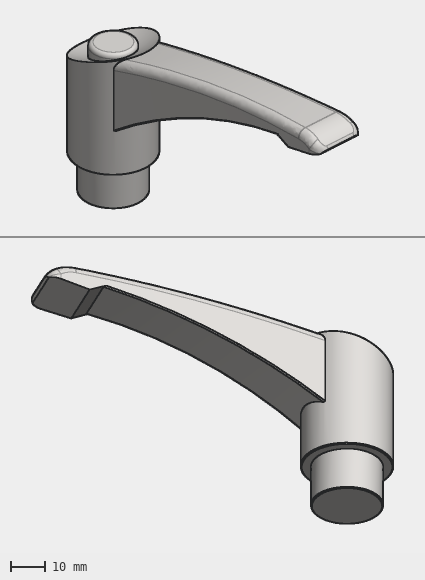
import cadquery as cq
import math

total_length = 108.0
total_height = 60.9

hub_radius = 13.5
collar_radius = 21.0 / 2
collar_height = 13.2
rim_middle = 48.6
rim_high = 53.4
edge_break = 0.3
button_radius = 14.7 / 2
button_top = 50.5
button_round = 1.4

bowl_tilt = 17.6
bowl_depth = 2.3
bowl_length_radius = 49.9
bowl_width_radius = 30.7

nose_loss = 0.14
tip_x = total_length - hub_radius + nose_loss
root_x = 9.6
root_top = 51.7
root_bottom = 27.9
root_half_width = 9.4
waist_x = 49.7
waist_half_width = 8.1
grip_end_x = 86.0
back_waist = 58.8
tip_top = 56.8
tip_half_width = 9.4
tip_corner_radius = 3.9
shoulder_round = 2.7
underside_break = 0.4
tip_underside = (93.7, 55.7)
notch_lip = (81.5, 53.3)
notch_root = (77.1, 55.4)
underside_middle = (41.3, 45.5)


def make_hub():
    collar = cq.Workplane("XY").circle(collar_radius).extrude(collar_height)
    collar = collar.faces("<Z").chamfer(edge_break)
    barrel = cq.Workplane("XY").workplane(offset=collar_height).circle(hub_radius)
    barrel = barrel.extrude(rim_high - collar_height).faces("<Z").chamfer(edge_break)
    return collar.union(barrel)


def back_curve():
    """Start a side outline with the arched back, running on into the tip curve."""
    return (
        cq.Workplane("XZ")
        .moveTo(root_x, root_top)
        .threePointArc((waist_x, back_waist), (grip_end_x, total_height))
        .tangentArcPoint((tip_x, tip_top), relative=False)
    )


def make_plan(corner_radius):
    """Upright prism with waisted sides and a square tip with rounded corners."""
    return (
        cq.Workplane("XY")
        .moveTo(root_x, -root_half_width)
        .threePointArc((waist_x, -waist_half_width), (tip_x, -tip_half_width))
        .lineTo(tip_x, tip_half_width)
        .threePointArc((waist_x, waist_half_width), (root_x, root_half_width))
        .close()
        .extrude(total_height)
        .edges("|Z and >X")
        .fillet(corner_radius)
    )


def make_lever():
    upper_half = cq.selectors.BoxSelector(
        (0, -hub_radius, total_height / 2), (tip_x, hub_radius, total_height)
    )
    blank = back_curve().lineTo(tip_x, 0).lineTo(root_x, 0).close()
    blank = blank.extrude(hub_radius, both=True).intersect(make_plan(tip_corner_radius))
    blank = blank.edges("not (|X or |Y or |Z)").edges(upper_half).fillet(shoulder_round)
    side = (
        back_curve()
        .lineTo(*tip_underside)
        .lineTo(*notch_lip)
        .lineTo(*notch_root)
        .threePointArc(underside_middle, (root_x, root_bottom))
        .close()
        .extrude(hub_radius, both=True)
    )
    lever = blank.intersect(side)
    underside_center = (underside_middle[0], 0, underside_middle[1])
    underside = lever.faces(cq.selectors.NearestToPointSelector(underside_center))
    return underside.edges("not |Y").chamfer(underside_break)


def make_bowl():
    axis_offset = bowl_length_radius - bowl_width_radius
    half_chord = math.sqrt(bowl_width_radius**2 - axis_offset**2)
    bowl = (
        cq.Workplane("YZ")
        .moveTo(-half_chord, 0)
        .threePointArc((0, -bowl_length_radius), (half_chord, 0))
        .close()
        .revolve(360, (0, 0), (1, 0))
        .translate((0, 0, bowl_length_radius - bowl_depth))
        .rotate((0, 0, 0), (0, 1, 0), -bowl_tilt)
        .translate((0, 0, rim_middle))
    )
    bore = cq.Workplane("XY").circle(hub_radius).extrude(2 * total_height)
    return bowl.intersect(bore)


def make_button():
    button = cq.Workplane("XY").workplane(offset=collar_height).circle(button_radius)
    button = button.extrude(button_top - collar_height)
    return button.faces(">Z").edges().fillet(button_round)


result = make_hub().union(make_lever()).cut(make_bowl()).union(make_button())